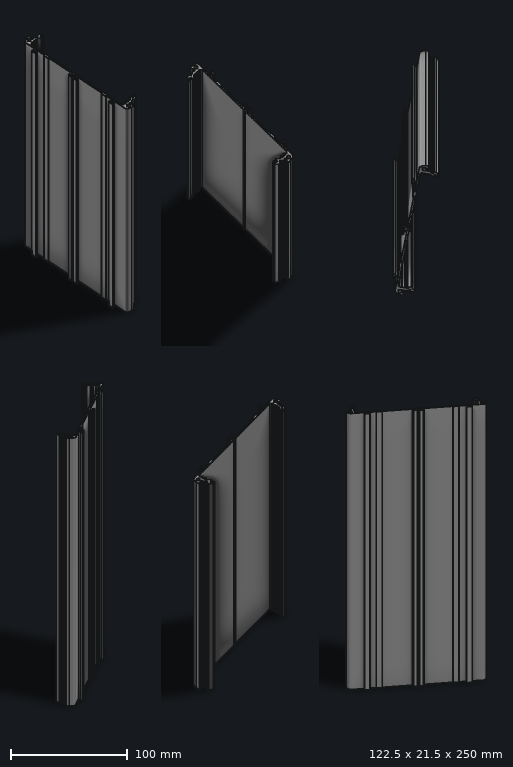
import cadquery as cq
import math

length = 250.0
width = 122.5
height = 21.5
side_x = -width / 2

web_front = 3.8
web_thickness = 1.8
web_back = web_front + web_thickness

block_top = 11.5
block_step_depth = 0.8
block_step_x = -58.5
corner_radius = 3.0
corner_centre_x = -57.5
corner_lean = math.radians(18)
screw_diameter = 3.0
screw_x = -57.8
screw_y = 8.0

wall_inner = -53.8
wall_outer = -56.5
root_leg = 1.2
rib_reach = 1.5
rib_thickness = 0.8
rib_centres = (8.8, 12.0)

barb_x = -57.0
barb_front = 12.2
barb_back = 13.0
barb_undercut = 0.5
barb_slope = 1.0
barb_neck_y = 15.0
neck_outer = -55.0
neck_y = 16.2
bead_x = -56.8
bead_front = 17.0
bead_back = 18.5
bead_root_x = -55.8
bead_root_y = 16.5
peak_x = -54.5
peak_y = height
notch_x = -53.8
notch_y = 20.8
hook_left = -53.2
hook_right = -52.2
hook_tip = -51.5
hook_bevel_y = 20.0
groove_front = 17.8
groove_back = 19.8
lip_front = 16.8
lip_root = 14.2

foot_x = -44.8
foot_width = 4.8
foot_thickness = 1.8
foot_stem = 1.2
pad_x = -33.5
pad_width = 5.2
pad_front = 3.0

rail_width = 10.0
rail_thickness = 1.5
rail_chamfer = 0.8
rail_stem = 5.0
rail_root_leg = 0.8
cavity_width = 2.5
cavity_front = 1.5
cavity_back = 4.0
slit_width = 0.2
mouth_width = 2.0
mouth_depth = 0.8
bump_width = 2.2
bump_top = 6.0


def bar(points):
    """Full-length bar with a polygonal section."""
    return cq.Workplane("XY").polyline(points).close().extrude(length)


def box(x_min, x_max, y_min, y_max):
    """Full-length bar with a rectangular section."""
    return bar([(x_min, y_min), (x_max, y_min), (x_max, y_max), (x_min, y_max)])


def centred_box(x, size, y_min, y_max):
    return box(x - size / 2, x + size / 2, y_min, y_max)


def corner_block():
    arc_x = corner_centre_x - corner_radius * math.cos(corner_lean)
    arc_y = web_front + corner_radius * (1 - math.sin(corner_lean))
    flat_top = arc_y + (arc_x - side_x) / math.tan(corner_lean)
    step_y = block_top - block_step_depth
    block = (
        cq.Workplane("XY")
        .moveTo(side_x, block_top)
        .lineTo(block_step_x, block_top)
        .lineTo(block_step_x, step_y)
        .lineTo(wall_inner, step_y)
        .lineTo(wall_inner, web_front)
        .lineTo(corner_centre_x, web_front)
        .radiusArc((arc_x, arc_y), corner_radius)
        .lineTo(side_x, flat_top)
        .close()
        .extrude(length)
    )
    hole = cq.Workplane("XY").center(screw_x, screw_y).circle(screw_diameter / 2).extrude(length)
    return block.cut(hole)


def wall_with_snap():
    outer_side = [
        (wall_outer, web_back),
        (wall_outer, barb_front - barb_undercut),
        (barb_x, barb_front),
        (barb_x, barb_back),
        (barb_x + barb_slope, barb_back + barb_slope),
        (barb_x + barb_slope, barb_neck_y),
        (neck_outer, neck_y),
        (bead_root_x, bead_root_y),
        (bead_x, bead_front),
        (bead_x, bead_back),
        (peak_x, peak_y),
    ]
    top_and_inner_side = [
        (notch_x, notch_y),
        (hook_left, height),
        (hook_right, height),
        (hook_tip, hook_bevel_y),
        (hook_tip, groove_back),
        (wall_inner, groove_back),
        (wall_inner, groove_front),
        (hook_tip, groove_front),
        (hook_tip, lip_front),
        (wall_inner, lip_root),
        (wall_inner, web_back + root_leg),
        (wall_inner + root_leg, web_back),
    ]
    wall = bar(outer_side + top_and_inner_side)
    block_zone = box(side_x, wall_inner, 0, block_top - block_step_depth)
    wall = wall.cut(block_zone)
    for y in rib_centres:
        rib = box(wall_inner, wall_inner + rib_reach, y - rib_thickness / 2, y + rib_thickness / 2)
        wall = wall.union(rib)
    return wall


def foot():
    head = centred_box(foot_x, foot_width, 0, foot_thickness)
    stem = centred_box(foot_x, foot_stem, foot_thickness, web_front)
    return head.union(stem)


def pad():
    return centred_box(pad_x, pad_width, pad_front, web_front)


def centre_rail():
    half_rail = rail_width / 2
    half_stem = rail_stem / 2
    half_root = half_stem + rail_root_leg
    head = bar([
        (-half_rail + rail_chamfer, 0),
        (half_rail - rail_chamfer, 0),
        (half_rail, rail_chamfer),
        (half_rail, rail_thickness),
        (-half_rail, rail_thickness),
        (-half_rail, rail_chamfer),
    ])
    stem = bar([
        (-half_stem, 0),
        (half_stem, 0),
        (half_stem, web_front - rail_root_leg),
        (half_root, web_front),
        (-half_root, web_front),
        (-half_stem, web_front - rail_root_leg),
    ])
    bump = centred_box(0, bump_width, web_back, bump_top)
    return head.union(stem).union(bump)


def rail_cavity():
    mouth = bar([
        (-mouth_width / 2, 0),
        (mouth_width / 2, 0),
        (slit_width / 2, mouth_depth),
        (-slit_width / 2, mouth_depth),
    ])
    slit = centred_box(0, slit_width, 0, cavity_front)
    chamber = centred_box(0, cavity_width, cavity_front, cavity_back)
    return mouth.union(slit).union(chamber)


left_half = box(wall_inner, 0, web_front, web_back)
for feature in (corner_block(), wall_with_snap(), foot(), pad()):
    left_half = left_half.union(feature)

result = left_half.union(left_half.mirror("YZ")).union(centre_rail()).cut(rail_cavity())